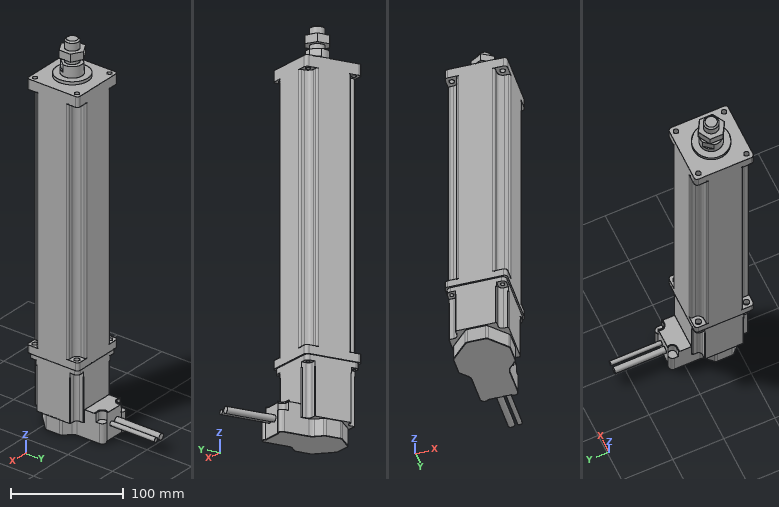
import cadquery as cq
import math

cap_top = 16.5
motor_slot_chamfer_top = 62.7
motor_slot_top = 67.8
motor_top = 73.2
lower_flange_top = 81.5
upper_flange_bottom = 341.0
upper_flange_top = 351.7
boss_top = 355.0
rod_shoulder = 366.5
nut_bottom = 372.0
nut_top = 380.0
total_height = 389.5
total_depth = 126.2

flange_width = 58.0
flange_corner_radius = 3.0
tube_slot_wall = 18.0
tube_slot_mouth_radius = 2.0
tube_slot_inner_radius = 6.0
boss_diameter = 35.0

hole_spacing = 47.0
upper_hole_diameter = 4.5
lower_hole_diameter = 5.5
motor_hole_diameter = 3.5

motor_width = 55.5
motor_corner_radius = 4.0
motor_slot_wall = 19.0
motor_slot_inner_radius = 4.0
motor_slot_mouth_chamfer = 0.8

cap_width = 53.0
cap_flat_end = 9.7
cap_rear_flat_end = 7.8
cap_corner_radius = 3.5
cap_bottom_chamfer = 0.5

block_width = 35.5
block_back = 47.0
block_top = 29.2
block_inner_radius = 6.2
lug_radius = 8.0 / 2
lug_x = block_width / 2 - lug_radius
lug_y = 44.5
lug_top = 21.0
rim_thickness = 0.8
rim_top = 30.5
cable_end = total_depth - flange_width / 2
cable_height = 16.0
cables = [(-4.0, 6.5), (4.0, 4.5)]

rod_diameter = 22.0
rod_flats_width = 19.0
rod_flats_bottom = 359.0
rod_flats_angle = -40.0
thread_diameter = 14.0
thread_chamfer = 1.5
nut_across_flats = 22.2
nut_turn = 30.0


cut_margin = 4.0
pick_margin = 0.2


def square_bar(width, bottom, top, corner_radius):
    bar = cq.Workplane("XY").workplane(offset=bottom).rect(width, width).extrude(top - bottom)
    return bar.edges("|Z").fillet(corner_radius)


def cylinder(diameter, bottom, top):
    return cq.Workplane("XY").workplane(offset=bottom).circle(diameter / 2).extrude(top - bottom)


def cut_corner_slots(bar, width, wall, inner_radius, bottom, top):
    """Remove a square slot with a rounded inner edge from each corner of a bar."""
    outside = width / 2 + cut_margin
    size = outside - wall
    centre = wall + size / 2
    for side_x in (-1, 1):
        for side_y in (-1, 1):
            slot = (
                cq.Workplane("XY", origin=(side_x * centre, side_y * centre, bottom))
                .rect(size, size)
                .extrude(top - bottom)
            )
            inner_edge = "<X" if side_x > 0 else ">X"
            inner_edge += " and " + ("<Y" if side_y > 0 else ">Y")
            bar = bar.cut(slot.edges("|Z").edges(inner_edge).fillet(inner_radius))
    return bar


def slot_mouths(width, wall, middle_height):
    """Selector for the upright slot edges on the four faces of a bar."""
    half = width / 2
    low = middle_height - pick_margin
    high = middle_height + pick_margin
    selector = None
    for side_a in (-1, 1):
        for side_b in (-1, 1):
            for x, y in ((side_a * half, side_b * wall), (side_a * wall, side_b * half)):
                box = cq.selectors.BoxSelector(
                    (x - pick_margin, y - pick_margin, low), (x + pick_margin, y + pick_margin, high)
                )
                selector = box if selector is None else selector + box
    return selector


def corner_holes(diameter, bottom, top):
    return (
        cq.Workplane("XY")
        .workplane(offset=bottom)
        .rect(hole_spacing, hole_spacing, forConstruction=True)
        .vertices()
        .circle(diameter / 2)
        .extrude(top - bottom)
    )


def make_actuator_tube():
    tube = square_bar(flange_width, motor_top, upper_flange_top, flange_corner_radius)
    tube = cut_corner_slots(
        tube, flange_width, tube_slot_wall, tube_slot_inner_radius, lower_flange_top, upper_flange_bottom
    )
    middle = (lower_flange_top + upper_flange_bottom) / 2
    tube = tube.edges(slot_mouths(flange_width, tube_slot_wall, middle)).fillet(tube_slot_mouth_radius)
    return tube.union(cylinder(boss_diameter, upper_flange_top, boss_top))


def make_motor():
    motor = square_bar(motor_width, cap_top, motor_top, motor_corner_radius)
    motor = cut_corner_slots(
        motor, motor_width, motor_slot_wall, motor_slot_inner_radius, cap_top, motor_slot_chamfer_top
    )
    middle = (cap_top + motor_slot_chamfer_top) / 2
    motor = motor.edges(slot_mouths(motor_width, motor_slot_wall, middle)).chamfer(motor_slot_mouth_chamfer)
    return cut_corner_slots(
        motor, motor_width, motor_slot_wall, motor_slot_inner_radius, motor_slot_chamfer_top, motor_slot_top
    )


def trace_block_back(path):
    """Continue an outline from one block side, around both round lugs, to the other side."""
    block_half = block_width / 2
    lug_back = lug_y + lug_radius
    lug_end = lug_x - math.sqrt(lug_radius**2 - (block_back - lug_y) ** 2)
    return (
        path.lineTo(block_half, lug_y)
        .threePointArc((lug_x, lug_back), (lug_end, block_back))
        .lineTo(-lug_end, block_back)
        .threePointArc((-lug_x, lug_back), (-block_half, lug_y))
    )


def make_rear_cap():
    half = cap_width / 2
    block_half = block_width / 2
    block_start = cap_rear_flat_end + half - block_half
    right_side = [
        (cap_flat_end, -half),
        (half, -cap_flat_end),
        (half, cap_rear_flat_end),
        (block_half, block_start),
    ]
    left_side = [(-x, y) for x, y in reversed(right_side)]
    path = trace_block_back(cq.Workplane("XY").polyline(right_side))
    for x, y in left_side:
        path = path.lineTo(x, y)
    cap = path.close().extrude(cap_top)
    outer_corners = cq.selectors.BoxSelector(
        (-cap_width, -cap_width, 0), (cap_width, cap_rear_flat_end + pick_margin, cap_top)
    )
    inner_corners = cq.selectors.BoxSelector(
        (-cap_width, block_start - pick_margin, 0), (cap_width, block_start + pick_margin, cap_top)
    )
    cap = cap.edges("|Z").edges(outer_corners).fillet(cap_corner_radius)
    cap = cap.edges("|Z").edges(inner_corners).fillet(block_inner_radius)
    return cap.faces("<Z").edges().chamfer(cap_bottom_chamfer)


def lug_prism(side, radius, bottom, top):
    """Prism over a lug, round towards the block and open towards its back corner."""
    reach = 2 * lug_radius
    arc_end = radius / math.sqrt(2)
    return (
        cq.Workplane("XY", origin=(side * lug_x, lug_y, bottom))
        .moveTo(side * reach, -radius)
        .lineTo(0, -radius)
        .threePointArc((-side * radius, 0), (-side * arc_end, arc_end))
        .lineTo(-side * arc_end, reach)
        .lineTo(side * reach, reach)
        .close()
        .extrude(top - bottom)
    )


def block_slab(bottom, top):
    depth = block_back - motor_width / 2
    return (
        cq.Workplane("XY", origin=(0, block_back - depth / 2, bottom))
        .rect(block_width, depth)
        .extrude(top - bottom)
    )


def make_connector_block():
    block_half = block_width / 2
    front = motor_width / 2
    path = (
        cq.Workplane("XY")
        .workplane(offset=cap_top)
        .moveTo(-block_half, front)
        .lineTo(block_half, front)
    )
    lower_block = trace_block_back(path).close().extrude(lug_top - cap_top)
    upper_block = block_slab(lug_top, block_top)
    for side in (-1, 1):
        rim = lug_prism(side, lug_radius + rim_thickness, lug_top, rim_top)
        upper_block = upper_block.union(block_slab(lug_top, rim_top).intersect(rim))
        upper_block = upper_block.cut(lug_prism(side, lug_radius, lug_top, rim_top))
    return lower_block.union(upper_block)


def make_cable(x, diameter):
    return (
        cq.Workplane("XZ", origin=(x, cable_end, cable_height))
        .circle(diameter / 2)
        .extrude(cable_end - lug_y)
    )


def make_housing():
    housing = make_actuator_tube().union(make_motor()).union(make_rear_cap()).union(make_connector_block())
    for x, diameter in cables:
        housing = housing.union(make_cable(x, diameter))
    housing = housing.cut(corner_holes(upper_hole_diameter, upper_flange_bottom, upper_flange_top))
    housing = housing.cut(corner_holes(lower_hole_diameter, motor_top, lower_flange_top))
    return housing.cut(corner_holes(motor_hole_diameter, motor_slot_top, motor_top))


def make_rod():
    """Round rod resting on the boss, with wrench flats, threaded end and lock nut in one piece."""
    shank = cylinder(rod_diameter, boss_top, rod_flats_bottom)
    flats_bar = (
        cq.Workplane("XY")
        .workplane(offset=rod_flats_bottom)
        .rect(rod_flats_width, 2 * rod_diameter)
        .extrude(rod_shoulder - rod_flats_bottom)
        .rotate((0, 0, 0), (0, 0, 1), rod_flats_angle)
    )
    shoulder = cylinder(rod_diameter, rod_flats_bottom, rod_shoulder).intersect(flats_bar)
    thread = cylinder(thread_diameter, rod_shoulder, total_height).faces(">Z").chamfer(thread_chamfer)
    nut = (
        cq.Workplane("XY")
        .workplane(offset=nut_bottom)
        .polygon(6, nut_across_flats / math.cos(math.radians(nut_turn)))
        .extrude(nut_top - nut_bottom)
        .rotate((0, 0, 0), (0, 0, 1), nut_turn)
    )
    return shank.union(shoulder).union(thread).union(nut)


housing = make_housing()
rod = make_rod()
result = cq.Compound.makeCompound([housing.solids().val(), rod.solids().val()])